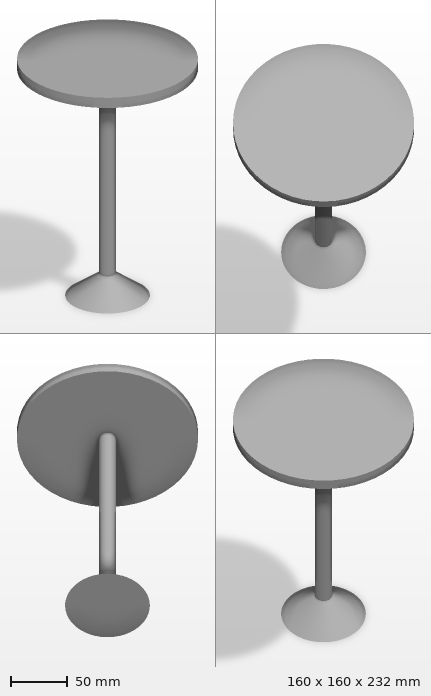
import cadquery as cq

total_height = 232.0
top_diameter = 160.0
top_thickness = 10.0
pole_diameter = 15.0
base_diameter = 75.0
base_height = 22.0

top_radius = top_diameter / 2
pole_radius = pole_diameter / 2
base_radius = base_diameter / 2
top_underside = total_height - top_thickness

half_profile = (
    cq.Workplane("XZ")
    .moveTo(0, 0)
    .lineTo(base_radius, 0)
    .lineTo(pole_radius, base_height)
    .lineTo(pole_radius, top_underside)
    .lineTo(top_radius, top_underside)
    .lineTo(top_radius, total_height)
    .lineTo(0, total_height)
    .close()
)

result = half_profile.revolve(360, (0, 0), (0, 1))